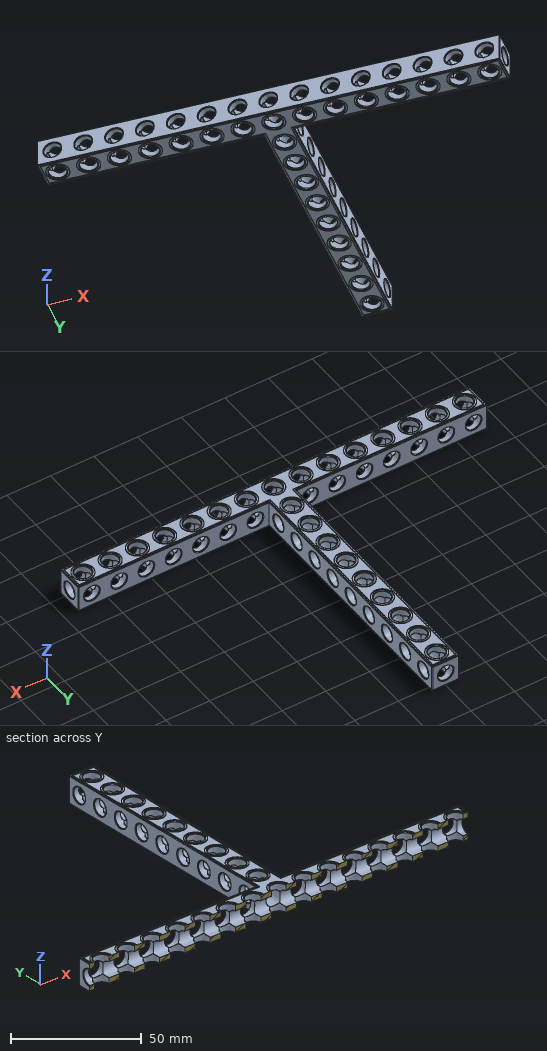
import cadquery as cq

length = 187.5
bar_holes = 15
stem_holes = 9
collar_diameter = 9.2
collar_wall = 1.09
frame_width = 1.0
recess_depth = 0.25
edge_chamfer = 0.3

pitch = length / bar_holes
width = pitch
depth = (stem_holes + 1) * pitch
hole_radius = collar_diameter / 2 - collar_wall
mouth_radius = hole_radius + edge_chamfer

bar_y = (width - depth) / 2
bar_xs = [(i - (bar_holes - 1) / 2) * pitch for i in range(bar_holes)]
stem_ys = [bar_y + i * pitch for i in range(1, stem_holes + 1)]
stations = [(x, bar_y) for x in bar_xs] + [(0, y) for y in stem_ys]


def tee(inset, height):
    """Flat T centred on the origin, its outline moved inward by inset."""
    crossbar = cq.Workplane("XY").box(length - 2 * inset, width - 2 * inset, height)
    stem = cq.Workplane("XY").box(width - 2 * inset, depth - 2 * inset, height)
    return crossbar.translate((0, bar_y, 0)).union(stem).clean()


def chamfered_tee():
    """Solid T with its outer edges broken; the two inner corners stay sharp."""
    faces = tee(0, width).faces("|Z or <X or >X or <Y or >Y")
    return faces.edges().chamfer(edge_chamfer)


def face_recess():
    """Shallow T inside the rim, pierced where the collars stand."""
    collars = (
        cq.Workplane("XY").pushPoints(stations).circle(collar_diameter / 2)
        .extrude(recess_depth, both=True)
    )
    return tee(frame_width, recess_depth).cut(collars)


def hole(span):
    """Cutter along Z, centred on the origin, with a chamfered mouth at each end."""
    end = span / 2
    throat = end - edge_chamfer
    profile = [
        (0, -end), (mouth_radius, -end), (hole_radius, -throat),
        (hole_radius, throat), (mouth_radius, end), (0, end),
    ]
    return cq.Workplane("XZ").polyline(profile).close().revolve(360, (0, 0, 0), (0, 1, 0))


def hole_along_x(span):
    return hole(span).rotate((0, 0, 0), (0, 1, 0), 90)


def hole_along_y(span):
    return hole(span).rotate((0, 0, 0), (1, 0, 0), 90)


def all_holes():
    """Cross holes at every station in three directions; two run the full length of the arms."""
    holes = [hole(width).translate((x, y, 0)) for x, y in stations]
    holes += [hole_along_y(width).translate((x, bar_y, 0)) for x in bar_xs if x != 0]
    holes += [hole_along_x(width).translate((0, y, 0)) for y in stem_ys]
    holes.append(hole_along_x(length).translate((0, bar_y, 0)))
    holes.append(hole_along_y(depth))
    return [cutter.val() for cutter in holes]


body = chamfered_tee()
recess_z = (width - recess_depth) / 2
for z in (-recess_z, recess_z):
    body = body.cut(face_recess().translate((0, 0, z)))

drilled = cq.Workplane(body.val().cut(*all_holes()))
result = cq.Workplane(drilled.solids().val())